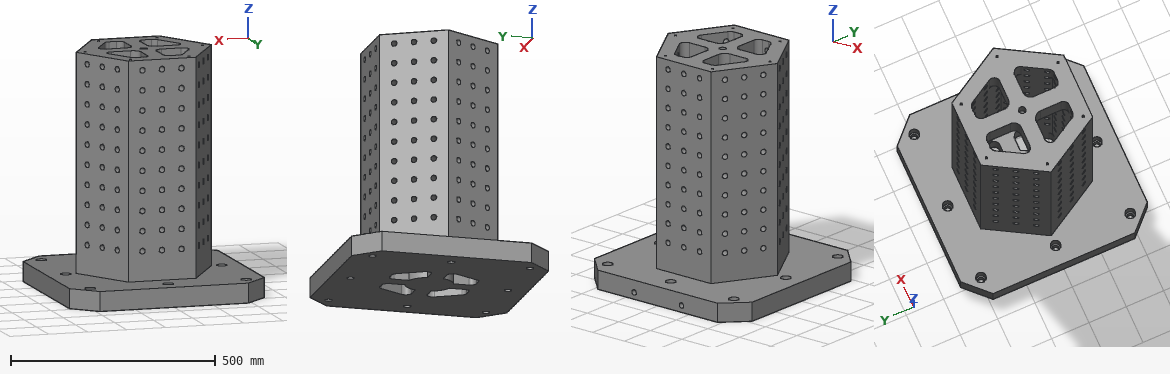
import cadquery as cq
import math

total_height = 600.0
base_side = total_height * 5 / 6
base_height = total_height / 12
base_corner_cut = 60.0

tower_flats = 300.0
tower_height = total_height - base_height
wall = tower_flats * 2 / 15
cavity_flats = tower_flats - 2 * wall

web_width = wall
top_web_depth = 70.0
pocket_radius = 15.0
hub_corner_radius = 20.0
hub_diameter = 120.0

grid_pitch = base_height
grid_rows = 10
grid_columns = 3
grid_hole_diameter = 14.0
first_row_depth = grid_pitch / 2
grid_hole_depth = wall + 12.0
drill_point_angle = 118.0

pin_diameter = 5.0
pin_depth = 15.0
pin_circle_radius = tower_flats / 2
lifting_hole_diameter = 17.5
lifting_hole_depth = 36.0

bolt_spacing = 2 * base_side / 5
bolt_diameter = 18.0
bolt_counterbore_diameter = 26.0
bolt_counterbore_depth = 30.0
side_hole_diameter = 14.0
side_hole_depth = 30.0
side_hole_spacing = 3 * grid_pitch
side_hole_height = 18.0


def hexagon(flats, bottom, height):
    """Hexagonal prism with two faces square to Y."""
    corner_diameter = flats / math.cos(math.radians(30))
    return cq.Workplane("XY").workplane(offset=bottom).polygon(6, corner_diameter).extrude(height)


def drilled_hole(diameter, depth):
    """Blind hole cutter entering along +Y from the origin, with a conical drill point."""
    radius = diameter / 2
    point = radius / math.tan(math.radians(drill_point_angle / 2))
    inward = cq.Vector(0, 1, 0)
    bore = cq.Solid.makeCylinder(radius, depth, cq.Vector(0, 0, 0), inward)
    tip = cq.Solid.makeCone(radius, 0, point, cq.Vector(0, depth, 0), inward)
    return cq.Workplane(bore.fuse(tip))


def corner_pockets(bottom, height):
    """Four rounded pockets left between the cross webs."""
    pockets = hexagon(cavity_flats, bottom, height)
    middle = bottom + height / 2
    for size_x, size_y in ((web_width, base_side), (base_side, web_width)):
        web = cq.Workplane("XY").box(size_x, size_y, height).translate((0, 0, middle))
        pockets = pockets.cut(web)
    near_hub = cq.selectors.BoxSelector(
        (-web_width, -web_width, bottom), (web_width, web_width, bottom + height)
    )
    pockets = pockets.edges("|Z").edges(cq.selectors.InverseSelector(near_hub)).fillet(pocket_radius)
    return pockets.edges("|Z").edges(near_hub).fillet(hub_corner_radius)


def face_grid():
    """Hole cutters for the tower face on the -Y side.

    The top row can end inside a web, so it has drill points; the other rows open into the cavity.
    """
    pointed = drilled_hole(grid_hole_diameter, grid_hole_depth).val()
    plain = cq.Workplane("XZ").circle(grid_hole_diameter / 2).extrude(-grid_hole_depth).val()
    holes = []
    for row in range(grid_rows):
        drill = pointed if row == 0 else plain
        z = total_height - first_row_depth - row * grid_pitch
        for column in range(grid_columns):
            x = (column - (grid_columns - 1) / 2) * grid_pitch
            holes.append(drill.translate(cq.Vector(x, -tower_flats / 2, z)))
    return cq.Compound.makeCompound(holes)


base = cq.Workplane("XY").rect(base_side, base_side).extrude(base_height)
base = base.edges("|Z").chamfer(base_corner_cut)
part = base.union(hexagon(tower_flats, base_height, tower_height))

top_web_bottom = total_height - top_web_depth
part = part.cut(hexagon(cavity_flats, base_height, top_web_bottom - base_height))

part = part.cut(corner_pockets(top_web_bottom, top_web_depth))
hub = cq.Workplane("XY").circle(hub_diameter / 2).extrude(base_height)
part = part.cut(corner_pockets(0, base_height).cut(hub))

part = (
    part.faces(">Z").workplane(origin=(0, 0, total_height))
    .polarArray(pin_circle_radius, 0, 360, 6).hole(pin_diameter, pin_depth)
)

lifting_hole = drilled_hole(lifting_hole_diameter, lifting_hole_depth)
part = part.cut(lifting_hole.rotate((0, 0, 0), (1, 0, 0), -90).translate((0, 0, total_height)))

bolt_places = [
    (column * bolt_spacing, row * bolt_spacing)
    for column in (-1, 0, 1)
    for row in (-1, 0, 1)
    if (column, row) != (0, 0)
]
through_holes = cq.Workplane("XY").pushPoints(bolt_places).circle(bolt_diameter / 2).extrude(base_height)
counterbores = (
    cq.Workplane("XY").workplane(offset=base_height).pushPoints(bolt_places)
    .circle(bolt_counterbore_diameter / 2).extrude(-bolt_counterbore_depth)
)
part = part.cut(through_holes).cut(counterbores)

side_hole = drilled_hole(side_hole_diameter, side_hole_depth)
for side in (-1, 1):
    place = (side * side_hole_spacing / 2, -base_side / 2, side_hole_height)
    part = part.cut(side_hole.translate(place))

grid = face_grid()
for face in range(6):
    face_holes = grid.rotate(cq.Vector(0, 0, 0), cq.Vector(0, 0, 1), 60 * face)
    part = part.cut(cq.Workplane(face_holes), clean=False)

result = part